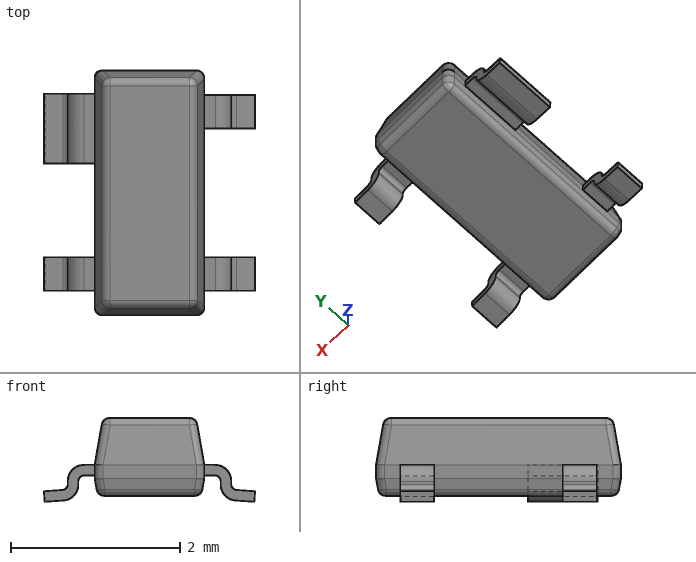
import cadquery as cq
import math

BODY_WIDTH = 1.3
BODY_LENGTH = 2.9
BODY_BOTTOM_Z = 0.07
BELT_BOTTOM_Z = 0.28
BELT_TOP_Z = 0.44
BODY_TOP_Z = 0.995
DRAFT_ANGLE = 10.0
EDGE_RADIUS = 0.1

LEAD_SPAN = 2.5
LEAD_THICKNESS = 0.128
LEAD_TOP_Z = BELT_TOP_Z
INNER_BEND = 0.065
OUTER_BEND = INNER_BEND + LEAD_THICKNESS
SHOULDER_LENGTH = 0.125
FOOT_ANGLE = math.radians(4.0)

NARROW_WIDTH = 0.4
WIDE_WIDTH = 0.825
NARROW_Y = 0.96
WIDE_Y = 0.76


def make_housing():
    belt = (
        cq.Workplane("XY", origin=(0, 0, BELT_BOTTOM_Z))
        .rect(BODY_WIDTH, BODY_LENGTH)
        .extrude(BELT_TOP_Z - BELT_BOTTOM_Z)
    )
    crown = (
        cq.Workplane("XY", origin=(0, 0, BELT_TOP_Z))
        .rect(BODY_WIDTH, BODY_LENGTH)
        .extrude(BODY_TOP_Z - BELT_TOP_Z, taper=DRAFT_ANGLE)
    )
    base = (
        cq.Workplane("XY", origin=(0, 0, BELT_BOTTOM_Z))
        .rect(BODY_WIDTH, BODY_LENGTH)
        .extrude(BODY_BOTTOM_Z - BELT_BOTTOM_Z, taper=DRAFT_ANGLE)
    )
    body = belt.union(crown).union(base)
    body = body.edges("not(#Z)").fillet(EDGE_RADIUS)
    return body.faces(">Z or <Z").edges().fillet(EDGE_RADIUS)


def make_lead(side, center_y, width):
    """One gull-wing lead; side is +1 or -1 along X."""
    sin_foot = math.sin(FOOT_ANGLE)
    cos_foot = math.cos(FOOT_ANGLE)
    upper_turn = math.pi / 2
    foot_turn = math.pi / 2 - FOOT_ANGLE

    root_x = BODY_WIDTH / 2
    upper_x = root_x + SHOULDER_LENGTH
    upper_z = LEAD_TOP_Z - OUTER_BEND

    tip_x = LEAD_SPAN / 2
    tip_z = LEAD_THICKNESS * cos_foot
    lower_x = upper_x + OUTER_BEND + INNER_BEND
    foot_run = tip_x - (lower_x - INNER_BEND * sin_foot)
    lower_z = tip_z + foot_run * math.tan(FOOT_ANGLE) + INNER_BEND * cos_foot

    def upper_bend(radius, angle):
        return upper_x + radius * math.sin(angle), upper_z + radius * math.cos(angle)

    def lower_bend(radius, angle):
        return lower_x - radius * math.cos(angle), lower_z - radius * math.sin(angle)

    profile = (
        cq.Workplane("XZ", origin=(0, center_y + width / 2, 0))
        .moveTo(root_x, LEAD_TOP_Z)
        .lineTo(*upper_bend(OUTER_BEND, 0))
        .threePointArc(upper_bend(OUTER_BEND, upper_turn / 2), upper_bend(OUTER_BEND, upper_turn))
        .lineTo(*lower_bend(INNER_BEND, 0))
        .threePointArc(lower_bend(INNER_BEND, foot_turn / 2), lower_bend(INNER_BEND, foot_turn))
        .lineTo(tip_x, tip_z)
        .lineTo(tip_x - LEAD_THICKNESS * sin_foot, 0)
        .lineTo(*lower_bend(OUTER_BEND, foot_turn))
        .threePointArc(lower_bend(OUTER_BEND, foot_turn / 2), lower_bend(OUTER_BEND, 0))
        .lineTo(*upper_bend(INNER_BEND, upper_turn))
        .threePointArc(upper_bend(INNER_BEND, upper_turn / 2), upper_bend(INNER_BEND, 0))
        .lineTo(root_x, LEAD_TOP_Z - LEAD_THICKNESS)
        .close()
    )
    lead = profile.extrude(width)
    if side < 0:
        lead = lead.mirror("YZ")
    return lead


housing = make_housing()

narrow_leads = []
for side, center_y in [(1, NARROW_Y), (1, -NARROW_Y), (-1, -NARROW_Y)]:
    narrow_leads.append(make_lead(side, center_y, NARROW_WIDTH).val())

wide_lead = make_lead(-1, WIDE_Y, WIDE_WIDTH)

result = cq.Compound.makeCompound([housing.val(), *narrow_leads, wide_lead.val()])